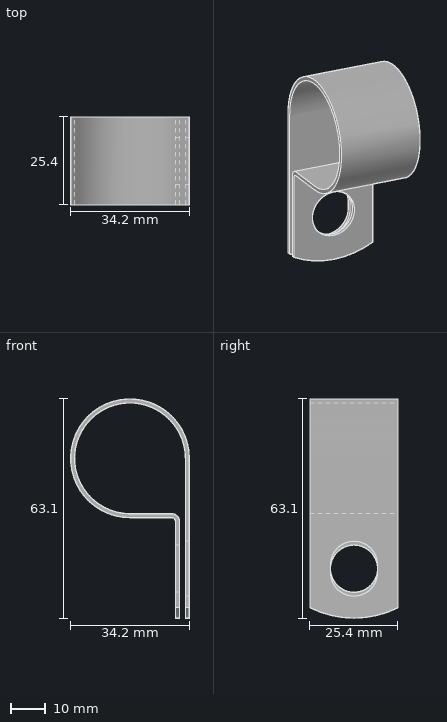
import cadquery as cq
import math

height = 63.1
loop_diameter = 34.2
strap_width = 25.4
thickness = 1.2

leg_gap = 1.65
bend_outer_radius = 2.3
hole_diameter = 13.5
hole_height = 14.25
slot_travel = 2.3
corner_rise = 3.0

outer_radius = loop_diameter / 2
inner_radius = outer_radius - thickness
bend_inner_radius = bend_outer_radius - thickness
leg_bottom = outer_radius - height
front_leg_right = inner_radius - leg_gap
front_leg_left = front_leg_right - thickness
bend_x = front_leg_right - bend_outer_radius
bend_z = -inner_radius - bend_outer_radius
gap_middle = inner_radius - leg_gap / 2
half_width = strap_width / 2
end_radius = (half_width**2 + corner_rise**2) / (2 * corner_rise)


def arc_midpoint(radius, center_x=0, center_z=0, direction=1):
    """Point at 45 degrees above the centre, on the right (1) or left (-1)."""
    offset = radius * math.sqrt(0.5)
    return (center_x + direction * offset, center_z + offset)


def bent_strap():
    """P-shaped strip: straight leg, three-quarter loop, shelf and front leg."""
    profile = (
        cq.Workplane("XZ")
        .moveTo(outer_radius, leg_bottom)
        .lineTo(outer_radius, 0)
        .threePointArc(arc_midpoint(outer_radius, direction=-1), (0, -outer_radius))
        .lineTo(bend_x, -outer_radius)
        .threePointArc(
            arc_midpoint(bend_inner_radius, bend_x, bend_z),
            (front_leg_left, bend_z),
        )
        .lineTo(front_leg_left, leg_bottom)
        .lineTo(front_leg_right, leg_bottom)
        .lineTo(front_leg_right, bend_z)
        .threePointArc(
            arc_midpoint(bend_outer_radius, bend_x, bend_z),
            (bend_x, -inner_radius),
        )
        .lineTo(0, -inner_radius)
        .threePointArc(arc_midpoint(inner_radius, direction=-1), (inner_radius, 0))
        .lineTo(inner_radius, leg_bottom)
        .close()
    )
    return profile.extrude(half_width, both=True)


def rounded_end_envelope():
    """Block whose lower edge is the shallow arc that ends both legs."""
    corner_z = leg_bottom + corner_rise
    return (
        cq.Workplane("YZ")
        .moveTo(-half_width, outer_radius)
        .lineTo(-half_width, corner_z)
        .radiusArc((half_width, corner_z), -end_radius)
        .lineTo(half_width, outer_radius)
        .close()
        .extrude(outer_radius, both=True)
    )


def front_hole():
    """Round bolt hole along X through the front leg."""
    return (
        cq.Workplane("YZ", origin=(0, 0, leg_bottom + hole_height))
        .circle(hole_diameter / 2)
        .extrude(gap_middle)
    )


def rear_slot():
    """Upright slot through the rear leg, centred on the front hole's axis."""
    return (
        cq.Workplane("YZ", origin=(gap_middle, 0, leg_bottom + hole_height))
        .slot2D(hole_diameter + slot_travel, hole_diameter, angle=90)
        .extrude(outer_radius - gap_middle)
    )


result = bent_strap().intersect(rounded_end_envelope()).cut(front_hole()).cut(rear_slot())